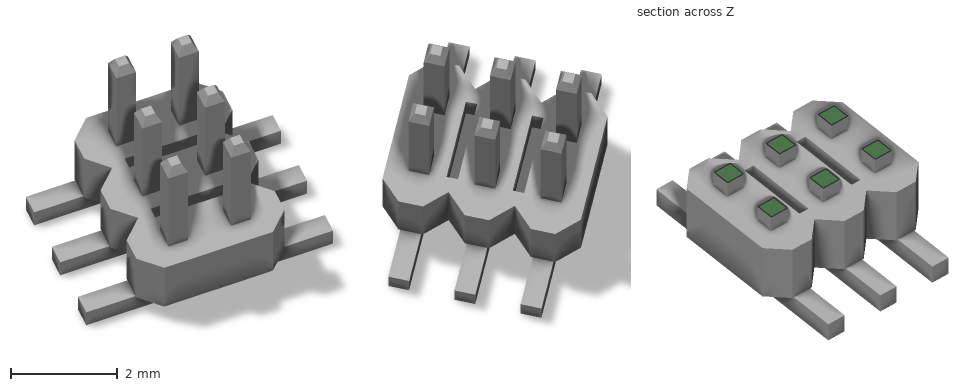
import cadquery as cq

columns = 3
pitch = 1.27
pin_width = 0.4

body_length = columns * pitch
body_depth = 3.0
body_height = 1.2
body_chamfer = 0.4
slot_width = 0.22
slot_length = 1.6
slot_depth = 0.5

foot_span = 5.0
foot_thickness = 0.4
foot_inner_y = 0.48
bend_radius = 0.39
total_height = 3.9
tip_height = 0.2
tip_width = 0.2

body_bottom = foot_thickness
body_top = body_bottom + body_height
column_positions = [(i - (columns - 1) / 2) * pitch for i in range(columns)]
slot_positions = [x + pitch / 2 for x in column_positions[:-1]]


def make_body():
    """Row of chamfered cells, with a narrow blind slot between neighbouring columns."""
    body = cq.Workplane("XY")
    for x in column_positions:
        cell = (
            cq.Workplane("XY", origin=(x, 0, body_bottom))
            .rect(pitch, body_depth)
            .extrude(body_height)
            .edges("|Z")
            .chamfer(body_chamfer)
        )
        body = body.union(cell)
    slots = (
        cq.Workplane("XY", origin=(0, 0, body_top))
        .pushPoints([(x, 0) for x in slot_positions])
        .rect(slot_width, slot_length)
        .extrude(-slot_depth)
    )
    return body.cut(slots)


def make_post(x, y):
    """Square post rising from the body top, ending in a tapered tip."""
    shank_height = total_height - tip_height - body_bottom
    shank = cq.Workplane("XY", origin=(x, y, body_bottom)).rect(pin_width, pin_width).extrude(shank_height)
    tip = (
        shank.faces(">Z")
        .workplane()
        .rect(pin_width, pin_width)
        .workplane(offset=tip_height)
        .rect(tip_width, tip_width)
        .loft(combine=False)
    )
    return shank.union(tip)


def make_foot(x):
    """Flat foot at the +Y side with its lower inner corner rounded by the pin bend."""
    return (
        cq.Workplane("XY")
        .box(pin_width, foot_span / 2 - foot_inner_y, foot_thickness, centered=(True, False, False))
        .translate((x, foot_inner_y, 0))
        .edges("|X and <Y and <Z")
        .fillet(bend_radius)
    )


result = make_body()
for column_x in column_positions:
    foot = make_foot(column_x)
    result = result.union(foot).union(foot.mirror("XZ"))
    for row_y in (-pitch / 2, pitch / 2):
        result = result.union(make_post(column_x, row_y))